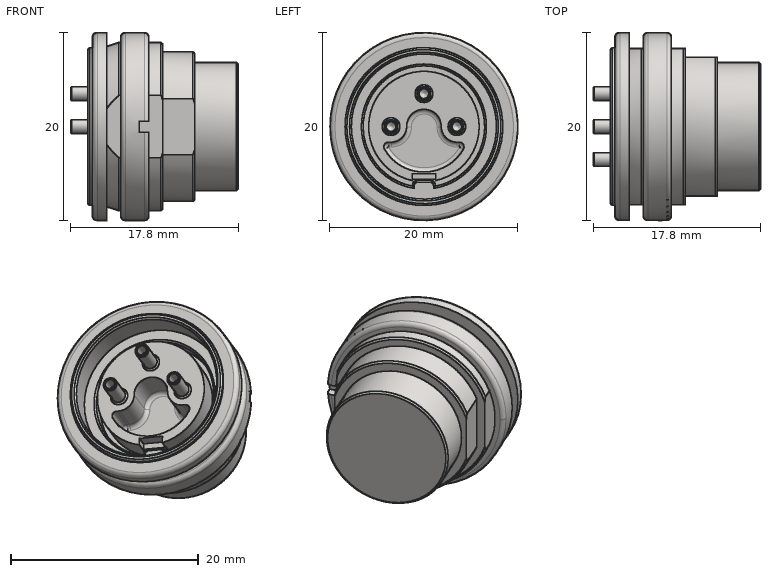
import cadquery as cq
import math


RIM_FRONT = 1.8
NUT_FRONT = 2.3
NUT_BACK = 3.85
RING_FRONT = 5.3
RING_BACK = 8.32
BODY_BACK = 9.8
STEP_BACK = 13.2
SHELL_BACK = 17.8

RIM_R = 8.4
RING_R = 10.0
BODY_R = 8.95
STEP_R = 7.98
NOSE_R = 6.85
EDGE_CHAMFER = 0.2
RING_FILLET = 0.5

CONE_BACK = 5.12
CONE_FRONT_R = 8.55

BODY_FLAT_Y = 8.32
STEP_FLAT_Y = 7.4

NOTCH_WIDTH = 1.15
NOTCH_LENGTH = 1.02

BORE_R = 7.72
LEDGE_X = RING_FRONT
OPENING_R = 6.45
GROOVE_BACK = 7.2
KEY_WIDTH = 2.45
KEY_TOP_Z = -5.72
KEY_CORNER_R = 0.55

DISC_FRONT = 3.8
DISC_R = 5.88
SLOT_WIDTH = 2.52
SLOT_TOP_Z = -5.0
SLOT_FLOOR_X = LEDGE_X + EDGE_CHAMFER
SLOT_FLOOR_BOTTOM_Z = -5.62

PIN_CIRCLE_R = 3.5
PIN_ANGLES = (0, 90, 180)
PIN_R = 0.75
PIN_TIP_CHAMFER = 0.1
PIN_HOLE_R = 0.52
PIN_HOLE_DEPTH = 2.0
DRILL_POINT_ANGLE = 118
COLLAR_R = 0.95
COLLAR_LENGTH = 0.2

POCKET_DEPTH = 4.6
POCKET_TOP_R = 1.85
POCKET_BOTTOM_R = 4.85
POCKET_CORNER_R = 0.5
POCKET_FLOOR_FILLET = 0.48


def plane_at(x):
    """Plane across the axis: local x is +Y, local y is +Z, normal is +X."""
    return cq.Workplane("YZ", origin=(x, 0, 0))


def cylinder(radius, x_start, x_end):
    return plane_at(x_start).circle(radius).extrude(x_end - x_start)


def revolved(profile):
    """Solid of revolution around the X axis from (x, radius) points."""
    return cq.Workplane("XY").polyline(profile).close().revolve(360, (0, 0, 0), (1, 0, 0))


def cone(start_r, end_r, x_start, x_end):
    return revolved([(x_start, 0), (x_start, start_r), (x_end, end_r), (x_end, 0)])


def block(x_range, y_range, z_range):
    sizes = [high - low for low, high in (x_range, y_range, z_range)]
    corner = (x_range[0], y_range[0], z_range[0])
    return cq.Workplane("XY").box(*sizes, centered=False).translate(corner)


def with_flats(solid, flat_y):
    slab = block((0, SHELL_BACK), (-flat_y, flat_y), (-RING_R, RING_R))
    return solid.intersect(slab)


def make_shell():
    rim = cylinder(RIM_R, RIM_FRONT, NUT_BACK).faces("<X").chamfer(EDGE_CHAMFER)
    nut = cylinder(RING_R, NUT_FRONT, NUT_BACK).faces("<X").edges().fillet(RING_FILLET)
    ring = cylinder(RING_R, RING_FRONT, RING_BACK).edges().fillet(RING_FILLET)
    ring = ring.cut(cylinder(BODY_R, RING_FRONT, RING_BACK))
    body = cylinder(BODY_R, CONE_BACK, BODY_BACK).faces(">X").chamfer(EDGE_CHAMFER)
    body = body.union(cone(CONE_FRONT_R, BODY_R, NUT_BACK, CONE_BACK))
    step = cylinder(STEP_R, BODY_BACK, STEP_BACK).faces(">X").chamfer(EDGE_CHAMFER)
    nose = cylinder(NOSE_R, STEP_BACK, SHELL_BACK).faces(">X").chamfer(EDGE_CHAMFER)
    notch = block(
        (RING_BACK - NOTCH_LENGTH, RING_BACK),
        (-RING_R, -BODY_FLAT_Y),
        (-NOTCH_WIDTH / 2, NOTCH_WIDTH / 2),
    )
    shell = rim.union(nut).union(ring.cut(notch))
    shell = shell.union(with_flats(body, BODY_FLAT_Y))
    return shell.union(with_flats(step, STEP_FLAT_Y)).union(nose)


def make_bore():
    bore = cylinder(BORE_R, RIM_FRONT, GROOVE_BACK)
    lead_in = cone(BORE_R + EDGE_CHAMFER, BORE_R, RIM_FRONT, RIM_FRONT + EDGE_CHAMFER)
    return bore.union(lead_in)


def make_ledge():
    """Ledge in the bore, with a beveled round opening and a key standing at its bottom."""
    half_key = KEY_WIDTH / 2
    key = block((LEDGE_X, GROOVE_BACK), (-half_key, half_key), (-BORE_R, KEY_TOP_Z))
    key = key.edges("|X and >Z").fillet(KEY_CORNER_R)
    opening = cylinder(OPENING_R, LEDGE_X, GROOVE_BACK).cut(key)
    ledge = cylinder(BORE_R, LEDGE_X, GROOVE_BACK).cut(opening)
    opening_rim = ledge.faces("<X").wires(cq.selectors.LengthNthSelector(0)).edges()
    return opening_rim.chamfer(EDGE_CHAMFER)


def make_pocket_outline():
    """Round top, hollowed sides around the outer pins, and a wide round bottom."""
    side_r = PIN_CIRCLE_R - POCKET_TOP_R
    side_mid = side_r * math.sqrt(0.5)
    corner_y = math.sqrt(POCKET_BOTTOM_R**2 - side_r**2)
    return (
        plane_at(DISC_FRONT)
        .moveTo(-POCKET_TOP_R, 0)
        .threePointArc((0, POCKET_TOP_R), (POCKET_TOP_R, 0))
        .threePointArc((PIN_CIRCLE_R - side_mid, -side_mid), (PIN_CIRCLE_R, -side_r))
        .lineTo(corner_y, -side_r)
        .threePointArc((0, -POCKET_BOTTOM_R), (-corner_y, -side_r))
        .lineTo(-PIN_CIRCLE_R, -side_r)
        .threePointArc((side_mid - PIN_CIRCLE_R, -side_mid), (-POCKET_TOP_R, 0))
        .close()
    )


def make_pocket():
    pocket = make_pocket_outline().extrude(POCKET_DEPTH)
    pocket = pocket.edges("|X").edges("<Y or >Y").fillet(POCKET_CORNER_R)
    return pocket.faces(">X").edges().fillet(POCKET_FLOOR_FILLET)


def make_disc():
    """Insulator disc with the slot that takes the key."""
    disc = cylinder(DISC_R, DISC_FRONT, GROOVE_BACK)
    half_slot = SLOT_WIDTH / 2
    slot = block((DISC_FRONT, SLOT_FLOOR_X), (-half_slot, half_slot), (-DISC_R, SLOT_TOP_Z))
    edge_relief = block(
        (DISC_FRONT, GROOVE_BACK), (-half_slot, half_slot), (-DISC_R, SLOT_FLOOR_BOTTOM_Z)
    )
    return disc.cut(slot).cut(edge_relief)


def make_pin():
    """Hollow pin on the axis with a flared collar where it meets the disc."""
    pin = cylinder(PIN_R, 0, DISC_FRONT).faces("<X").chamfer(PIN_TIP_CHAMFER)
    pin = pin.union(cone(PIN_R, COLLAR_R, DISC_FRONT - COLLAR_LENGTH, DISC_FRONT))
    point_length = PIN_HOLE_R / math.tan(math.radians(DRILL_POINT_ANGLE / 2))
    point_tip = PIN_HOLE_DEPTH + point_length
    hole_profile = [(0, 0), (0, PIN_HOLE_R), (PIN_HOLE_DEPTH, PIN_HOLE_R), (point_tip, 0)]
    return pin.cut(revolved(hole_profile))


result = make_shell().cut(make_bore()).union(make_ledge())
result = result.union(make_disc()).cut(make_pocket())

for angle in PIN_ANGLES:
    pin_y = PIN_CIRCLE_R * math.cos(math.radians(angle))
    pin_z = PIN_CIRCLE_R * math.sin(math.radians(angle))
    result = result.union(make_pin().translate((0, pin_y, pin_z)))